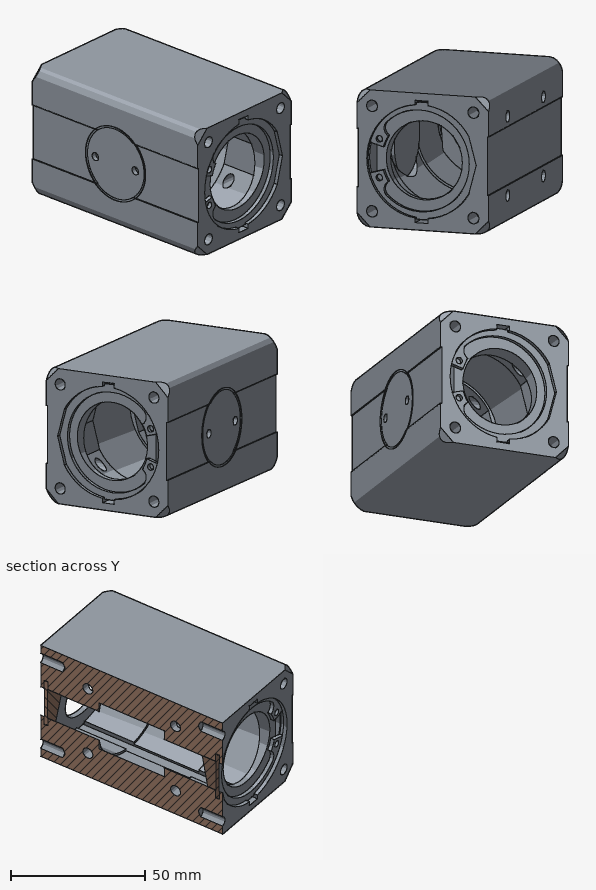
import cadquery as cq
import math

length = 83.0
width = 52.0
half_length = length / 2
half_width = width / 2
edge_radius = 4.0
corner_cut = 5.25
groove_width = 22.2
groove_depth = 0.5
groove_floor = half_width - groove_depth

bore_y = -0.5
bore_radius = 21.6
flat_angle = 30.0
relief_radius = 22.5
relief_half_length = 14.8
key_width = 5.0
key_top = 23.2

screw_hole_radius = 2.15
screw_hole_depth = 10.0
screw_hole_offset = 20.0
drill_point_angle = 118.0

mount_hole_radius = 2.15
mount_hole_x = 20.0
mount_hole_z = 15.0

plug_radius = 14.2
flange_radius = 15.0
plug_proud = 0.3
plug_face_y = -(groove_floor + plug_proud)
plug_inner_y = -20.8
spanner_hole_radius = 1.6
spanner_hole_offset = 10.0
spanner_hole_depth = 2.0
spanner_turn = -1.5

ring_depth = 1.6
ring_thickness = 1.6
ring_start = -half_length + ring_depth
ring_outer_radius = 22.3
ring_inner_radius = 19.3
ring_inner_shift = 1.0
lug_inner_radius = 16.2
lug_gap_angle = 15.7
lug_side_angle = 32.4
lug_root_angle = 47.0
lug_relief_depth = 15.3
lug_relief_height = 11.9
lug_hole_ring_radius = 18.7
lug_hole_angle = 23.1
lug_hole_radius = 1.25

insert_start = ring_start + ring_thickness
insert_thickness = 5.0
insert_lean = 10.5
insert_bore_radius = 15.0
insert_flat_y = -19.1
tab_top = 22.5


def bore_plane(x):
    """Plane across the bore at x, centred on the bore, with its axes along Y and Z."""
    return cq.Workplane("YZ", origin=(x, bore_y, 0))


def towards_plug(radius, angle):
    """Point in the bore plane at an angle, in degrees, from the -Y direction."""
    turn = math.radians(angle)
    return (-radius * math.cos(turn), radius * math.sin(turn))


def below(point):
    """Mirror image of a bore plane point across the Y axis."""
    return (point[0], -point[1])


def disc_along_y(radius, y_start, y_end):
    """Cylinder about the Y axis from y_start to y_end, with y_end the larger."""
    return cq.Workplane("XZ", origin=(0, y_end, 0)).circle(radius).extrude(y_end - y_start)


def both_ends(body):
    """A body at the -X end and its mirror image at the +X end."""
    return [body, body.mirror("YZ")]


def bore_shape(x, depth):
    """Cylinder along X with the two flats on its +Y side."""
    flat_end = towards_plug(bore_radius, 180 - flat_angle)
    return (
        bore_plane(x)
        .moveTo(bore_radius, 0)
        .lineTo(*flat_end)
        .threePointArc((-bore_radius, 0), below(flat_end))
        .close()
        .extrude(depth)
    )


def corner_envelope():
    """Square turned 45 degrees that narrows towards both ends and trims the corners there."""
    end_size = math.sqrt(2) * (width - corner_cut)
    middle_size = end_size + 2 * half_length
    half = (
        cq.Workplane("YZ")
        .rect(middle_size, middle_size)
        .workplane(offset=-half_length)
        .rect(end_size, end_size)
        .loft(ruled=True)
        .rotate((0, 0, 0), (1, 0, 0), 45)
    )
    return half.union(half.mirror("YZ"))


def screw_hole():
    """Blind hole with a drill point, running along X from the -X end face."""
    point_length = screw_hole_radius / math.tan(math.radians(drill_point_angle / 2))
    return (
        cq.Workplane("XY")
        .moveTo(0, 0)
        .lineTo(0, screw_hole_radius)
        .lineTo(screw_hole_depth, screw_hole_radius)
        .lineTo(screw_hole_depth + point_length, 0)
        .close()
        .revolve(360, (0, 0, 0), (1, 0, 0))
        .translate((-half_length, 0, 0))
    )


def make_housing():
    housing = cq.Workplane("XY").box(length, width, width).edges("|X").fillet(edge_radius)
    housing = housing.intersect(corner_envelope())

    groove = cq.Workplane("XY").box(length, 2 * groove_depth, groove_width)
    for side in (-1, 1):
        housing = housing.cut(groove.translate((0, side * half_width, 0)))

    housing = housing.cut(bore_shape(-half_length, length))
    housing = housing.cut(
        bore_plane(-relief_half_length).circle(relief_radius).extrude(2 * relief_half_length)
    )
    housing = housing.cut(bore_plane(-half_length).rect(key_width, 2 * key_top).extrude(length))

    ring_groove = bore_plane(ring_start).circle(ring_outer_radius).extrude(ring_thickness)
    for end_groove in both_ends(ring_groove):
        housing = housing.cut(end_groove)

    for y in (-screw_hole_offset, screw_hole_offset):
        for z in (-screw_hole_offset, screw_hole_offset):
            for end_hole in both_ends(screw_hole().translate((0, y, z))):
                housing = housing.cut(end_hole)

    mount_hole = disc_along_y(mount_hole_radius, 0, half_width)
    for x in (-mount_hole_x, mount_hole_x):
        for z in (-mount_hole_z, mount_hole_z):
            housing = housing.cut(mount_hole.translate((x, 0, z)))

    housing = housing.cut(disc_along_y(plug_radius, -half_width, bore_y))
    return housing.cut(disc_along_y(flange_radius, -half_width, plug_face_y))


def make_plug():
    """Stepped plug whose flange rests on the groove floor."""
    plug = disc_along_y(plug_radius, plug_face_y, plug_inner_y)
    flange = disc_along_y(flange_radius, plug_face_y, -groove_floor)
    groove_space = cq.Workplane("XY").box(length, width, groove_width)
    plug = plug.union(flange.intersect(groove_space))

    spanner_hole = disc_along_y(spanner_hole_radius, plug_face_y, plug_face_y + spanner_hole_depth)
    for side in (-1, 1):
        hole = spanner_hole.translate((side * spanner_hole_offset, 0, 0))
        plug = plug.cut(hole.rotate((0, 0, 0), (0, 1, 0), spanner_turn))
    return plug


def make_ring():
    """Internal retaining ring at the -X end, with its gap and lugs on the -Y side."""
    gap_outer = towards_plug(ring_outer_radius, lug_gap_angle)
    gap_inner = towards_plug(lug_inner_radius, lug_gap_angle)
    lug_middle = towards_plug(lug_inner_radius, (lug_gap_angle + lug_side_angle) / 2)
    lug_corner = towards_plug(lug_inner_radius, lug_side_angle)
    relief = (-lug_relief_depth, lug_relief_height)
    root_y, root_z = towards_plug(ring_inner_radius, lug_root_angle)
    lug_root = (root_y - ring_inner_shift, root_z)
    ring = (
        bore_plane(ring_start)
        .moveTo(*gap_outer)
        .lineTo(*gap_inner)
        .threePointArc(lug_middle, lug_corner)
        .threePointArc(relief, lug_root)
        .threePointArc((ring_inner_radius - ring_inner_shift, 0), below(lug_root))
        .threePointArc(below(relief), below(lug_corner))
        .threePointArc(below(lug_middle), below(gap_inner))
        .lineTo(*below(gap_outer))
        .threePointArc((ring_outer_radius, 0), gap_outer)
        .close()
        .extrude(ring_thickness)
    )
    lug_hole_centre = towards_plug(lug_hole_ring_radius, lug_hole_angle)
    lug_holes = (
        bore_plane(ring_start)
        .pushPoints([lug_hole_centre, below(lug_hole_centre)])
        .circle(lug_hole_radius)
        .extrude(ring_thickness)
    )
    return ring.cut(lug_holes)


def insert_wedge():
    """Full-width space between the upright outer face and the leaning inner face of an insert."""
    lean_rise = half_width * math.tan(math.radians(insert_lean))
    return (
        cq.Workplane("XZ", origin=(insert_start, 0, 0))
        .moveTo(0, -half_width)
        .lineTo(insert_thickness - lean_rise, -half_width)
        .lineTo(insert_thickness + lean_rise, half_width)
        .lineTo(0, half_width)
        .close()
        .extrude(half_width, both=True)
    )


def make_insert():
    """Bored wedge at the -X end, with tabs in the key slots and a flat facing the plug."""
    blank_length = 2 * insert_thickness
    tabs = bore_plane(insert_start).rect(key_width, 2 * tab_top).extrude(blank_length)
    insert = bore_shape(insert_start, blank_length).union(tabs)
    insert = insert.cut(bore_plane(insert_start).circle(insert_bore_radius).extrude(blank_length))
    beyond_flat = cq.Workplane("XY").box(length, half_width, width)
    insert = insert.cut(beyond_flat.translate((0, insert_flat_y - half_width / 2, 0)))
    return insert.intersect(insert_wedge())


housing = make_housing()
plug = make_plug()
rings = both_ends(make_ring())
inserts = both_ends(make_insert())

bodies = [housing, plug, *rings, *inserts]
result = cq.Compound.makeCompound([body.val() for body in bodies])